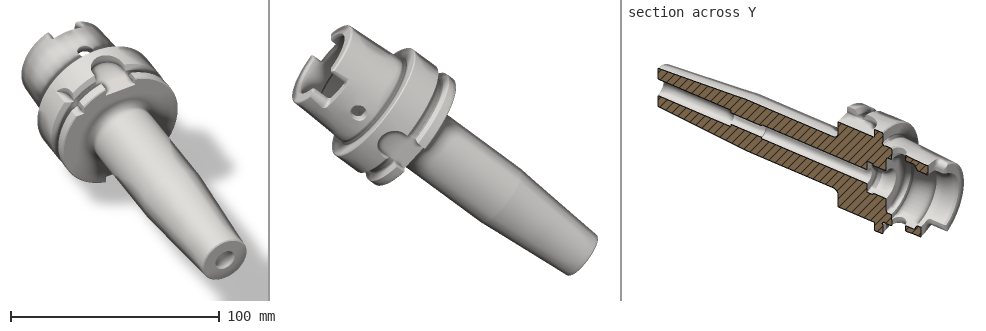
import cadquery as cq
import math


NOSE_X = -32.0
GAUGE_X = -6.3
GAUGE_DIA = 48.04
TAPER_RATIO = 1 / 10
TAPER_END_X = -2.05
NOSE_FILLET = 1.1
RELIEF_DIA = 47.8
RELIEF_START_X = -0.95
RELIEF_FLOOR_END_X = -0.45
FACE_RECESS_INNER_DIA = 49.8
FACE_RECESS_DIA = 51.2
FACE_RECESS_DEPTH = 0.4

FLANGE_DIA = 63.0
FLANGE_WIDTH = 26.0
FLANGE_CHAMFER = 0.5
GROOVE_X = 18.0
GROOVE_BOTTOM_DIA = 55.0
GROOVE_BOTTOM_WIDTH = 3.75
GROOVE_FILLET = 0.5
GROOVE_MOUTH_WIDTH = 6.7
GROOVE_FLANK_ANGLE = 30.0

NECK_DIA = 32.0
NECK_FILLET = 3.0
TIP_X = 130.0
TIP_DIA = 24.0
TIP_CONE_ANGLE = 4.5
TIP_CHAMFER = 0.5

MOUTH_DIA = 35.0
MOUTH_CHAMFER_LENGTH = 1.2
LIP_DIA = 34.0
LIP_END_X = -19.7
CLAMP_ANGLE = 30.0
CLAMP_DIA = 40.0
CLAMP_END_X = -5.0
FLOOR_X = -2.0
FLOOR_FILLET = 1.0

COOLANT_THREAD_DIA = 16.92
COOLANT_THREAD_DEPTH = 8.0
COOLANT_RELIEF_DIA = 19.0
COOLANT_RELIEF_DEPTH = 11.0
CLEARANCE_DIA = 8.4
CLEARANCE_END_X = 70.0
STOP_THREAD_DIA = 6.92
TOOL_BORE_DIA = 10.0
TOOL_BORE_MOUTH_DIA = 10.7
TOOL_BORE_DEPTH = 42.0

ACCESS_X = -9.1
ACCESS_DIA = 7.5
ACCESS_MOUTH_DIA = 8.6

DRIVE_WIDTH = 12.54
DRIVE_EDGE_RADIUS = 3.0
DRIVE_SHELF_Z = 20.9
DRIVE_CORNER_RADIUS = 1.5
DRIVE_MOUTH_CHAMFER = 0.85
UPPER_DRIVE_END_X = -26.0
LOWER_DRIVE_END_X = -22.0

KEYWAY_WIDTH = 16.0
KEYWAY_FLOOR_Z = 26.5
KEYWAY_CENTRE_X = 13.0
NOTCH_OFFSET = 20.0
NOTCH_CENTRE_X = 13.0
NOTCH_RADIUS = 8.0

CLEAR = 5.0
EDGE_MARGIN = 0.1


def taper_radius(x):
    return (GAUGE_DIA + (x - GAUGE_X) * TAPER_RATIO) / 2


def revolve_about_x(profile):
    return profile.close().revolve(360, (0, 0, 0), (1, 0, 0))


def make_body():
    flange_r = FLANGE_DIA / 2
    neck_r = NECK_DIA / 2
    tip_r = TIP_DIA / 2
    half_mouth = GROOVE_MOUTH_WIDTH / 2
    half_bottom = GROOVE_BOTTOM_WIDTH / 2
    flank_depth = (half_mouth - half_bottom) / math.tan(math.radians(GROOVE_FLANK_ANGLE))
    cone_length = (neck_r - tip_r) / math.tan(math.radians(TIP_CONE_ANGLE))
    tip_slope = math.tan(math.radians(TIP_CONE_ANGLE))
    taper_angle = math.atan(TAPER_RATIO / 2)
    rim_x = NOSE_X + NOSE_FILLET * (1 - math.sin(taper_angle))
    face_r = taper_radius(rim_x) - NOSE_FILLET * math.cos(taper_angle)
    bottom_r = GROOVE_BOTTOM_DIA / 2
    half_floor = half_bottom - GROOVE_FILLET
    profile = (
        cq.Workplane("XY")
        .moveTo(NOSE_X, 0)
        .lineTo(NOSE_X, face_r)
        .radiusArc((rim_x, taper_radius(rim_x)), NOSE_FILLET)
        .lineTo(TAPER_END_X, taper_radius(TAPER_END_X))
        .lineTo(RELIEF_START_X, RELIEF_DIA / 2)
        .lineTo(RELIEF_FLOOR_END_X, RELIEF_DIA / 2)
        .lineTo(FACE_RECESS_DEPTH, FACE_RECESS_INNER_DIA / 2)
        .lineTo(0, FACE_RECESS_DIA / 2)
        .lineTo(0, flange_r - FLANGE_CHAMFER)
        .lineTo(FLANGE_CHAMFER, flange_r)
        .lineTo(GROOVE_X - half_mouth, flange_r)
        .lineTo(GROOVE_X - half_bottom, flange_r - flank_depth)
        .lineTo(GROOVE_X - half_bottom, bottom_r + GROOVE_FILLET)
        .radiusArc((GROOVE_X - half_floor, bottom_r), -GROOVE_FILLET)
        .lineTo(GROOVE_X + half_floor, bottom_r)
        .radiusArc((GROOVE_X + half_bottom, bottom_r + GROOVE_FILLET), -GROOVE_FILLET)
        .lineTo(GROOVE_X + half_bottom, flange_r - flank_depth)
        .lineTo(GROOVE_X + half_mouth, flange_r)
        .lineTo(FLANGE_WIDTH - FLANGE_CHAMFER, flange_r)
        .lineTo(FLANGE_WIDTH, flange_r - FLANGE_CHAMFER)
        .lineTo(FLANGE_WIDTH, neck_r + NECK_FILLET)
        .radiusArc((FLANGE_WIDTH + NECK_FILLET, neck_r), -NECK_FILLET)
        .lineTo(TIP_X - cone_length, neck_r)
        .lineTo(TIP_X - TIP_CHAMFER, tip_r + TIP_CHAMFER * tip_slope)
        .lineTo(TIP_X, tip_r - TIP_CHAMFER)
        .lineTo(TIP_X, 0)
    )
    return revolve_about_x(profile)


def make_cavity():
    clamp_length = (CLAMP_DIA - LIP_DIA) / 2 * math.tan(math.radians(CLAMP_ANGLE))
    thread_end_x = FLOOR_X + COOLANT_THREAD_DEPTH
    relief_end_x = FLOOR_X + COOLANT_RELIEF_DEPTH
    tool_bore_x = TIP_X - TOOL_BORE_DEPTH
    bore_chamfer = (TOOL_BORE_MOUTH_DIA - TOOL_BORE_DIA) / 2
    profile = (
        cq.Workplane("XY")
        .moveTo(NOSE_X, 0)
        .lineTo(NOSE_X, MOUTH_DIA / 2)
        .lineTo(NOSE_X + MOUTH_CHAMFER_LENGTH, LIP_DIA / 2)
        .lineTo(LIP_END_X, LIP_DIA / 2)
        .lineTo(LIP_END_X + clamp_length, CLAMP_DIA / 2)
        .lineTo(CLAMP_END_X, CLAMP_DIA / 2)
        .lineTo(CLAMP_END_X, LIP_DIA / 2)
        .lineTo(FLOOR_X - FLOOR_FILLET, LIP_DIA / 2)
        .radiusArc((FLOOR_X, LIP_DIA / 2 - FLOOR_FILLET), FLOOR_FILLET)
        .lineTo(FLOOR_X, COOLANT_THREAD_DIA / 2)
        .lineTo(thread_end_x, COOLANT_THREAD_DIA / 2)
        .lineTo(thread_end_x, COOLANT_RELIEF_DIA / 2)
        .lineTo(relief_end_x, COOLANT_RELIEF_DIA / 2)
        .lineTo(relief_end_x, CLEARANCE_DIA / 2)
        .lineTo(CLEARANCE_END_X, CLEARANCE_DIA / 2)
        .lineTo(CLEARANCE_END_X, STOP_THREAD_DIA / 2)
        .lineTo(tool_bore_x, STOP_THREAD_DIA / 2)
        .lineTo(tool_bore_x, TOOL_BORE_DIA / 2)
        .lineTo(TIP_X - bore_chamfer, TOOL_BORE_DIA / 2)
        .lineTo(TIP_X, TOOL_BORE_MOUTH_DIA / 2)
        .lineTo(TIP_X, 0)
    )
    return revolve_about_x(profile)


def make_access_hole():
    """Radial hole through both taper walls, with a chamfered mouth on each side."""
    hole_r = ACCESS_DIA / 2
    mouth_r = ACCESS_MOUTH_DIA / 2
    surface_z = taper_radius(ACCESS_X)
    top_z = surface_z + CLEAR
    chamfer_end_z = surface_z - (mouth_r - hole_r)
    profile = (
        cq.Workplane("XZ")
        .moveTo(0, -top_z)
        .lineTo(mouth_r, -top_z)
        .lineTo(mouth_r, -surface_z)
        .lineTo(hole_r, -chamfer_end_z)
        .lineTo(hole_r, chamfer_end_z)
        .lineTo(mouth_r, surface_z)
        .lineTo(mouth_r, top_z)
        .lineTo(0, top_z)
        .close()
    )
    return profile.revolve(360, (0, 0, 0), (0, 1, 0)).translate((ACCESS_X, 0, 0))


def make_drive_slot(end_x):
    """Slot from the nose to end_x: rounded outer edges, filleted end wall, chamfered mouth."""
    half = DRIVE_WIDTH / 2
    arc_y = half + DRIVE_EDGE_RADIUS
    arc_z = DRIVE_SHELF_Z - DRIVE_EDGE_RADIUS
    outer_y = arc_y + CLEAR
    top_z = DRIVE_SHELF_Z + CLEAR
    start_x = NOSE_X - CLEAR
    channel = (
        cq.Workplane("YZ", origin=(start_x, 0, 0))
        .moveTo(-half, 0)
        .lineTo(half, 0)
        .lineTo(half, arc_z)
        .radiusArc((arc_y, DRIVE_SHELF_Z), DRIVE_EDGE_RADIUS)
        .lineTo(outer_y, DRIVE_SHELF_Z)
        .lineTo(outer_y, top_z)
        .lineTo(-outer_y, top_z)
        .lineTo(-outer_y, DRIVE_SHELF_Z)
        .lineTo(-arc_y, DRIVE_SHELF_Z)
        .radiusArc((-half, arc_z), DRIVE_EDGE_RADIUS)
        .close()
        .extrude(end_x - start_x)
    )
    end_wall_edges = cq.selectors.BoxSelector(
        (end_x - EDGE_MARGIN, EDGE_MARGIN - outer_y, EDGE_MARGIN),
        (end_x + EDGE_MARGIN, outer_y - EDGE_MARGIN, top_z - EDGE_MARGIN),
    )
    channel = channel.edges(end_wall_edges).fillet(DRIVE_CORNER_RADIUS)
    mouth_half = half + DRIVE_MOUTH_CHAMFER
    mouth = (
        cq.Workplane("XY")
        .moveTo(start_x, -mouth_half)
        .lineTo(NOSE_X, -mouth_half)
        .lineTo(NOSE_X + DRIVE_MOUTH_CHAMFER, -half)
        .lineTo(NOSE_X + DRIVE_MOUTH_CHAMFER, half)
        .lineTo(NOSE_X, mouth_half)
        .lineTo(start_x, mouth_half)
        .close()
        .extrude(DRIVE_SHELF_Z)
    )
    return channel.union(mouth)


def make_round_ended_channel(centre_x, centre_y, floor_z, radius):
    """Upright cutter with a flat floor and a half-round front end, open to the rear of the flange."""
    height = FLANGE_DIA / 2 - floor_z + CLEAR
    length = FLANGE_WIDTH + CLEAR - centre_x
    plane = cq.Workplane("XY", origin=(centre_x, centre_y, floor_z))
    channel = plane.rect(length, 2 * radius).extrude(height).translate((length / 2, 0, 0))
    return channel.union(plane.circle(radius).extrude(height))


def make_keyway():
    return make_round_ended_channel(KEYWAY_CENTRE_X, 0, KEYWAY_FLOOR_Z, KEYWAY_WIDTH / 2)


def make_notch():
    """Step in the flange edge between -Y and +Z, with its wall and floor equally far from the axis."""
    centre_y = -NOTCH_OFFSET - NOTCH_RADIUS
    return make_round_ended_channel(NOTCH_CENTRE_X, centre_y, NOTCH_OFFSET, NOTCH_RADIUS)


def half_turn(cutter):
    return cutter.rotate((0, 0, 0), (1, 0, 0), 180)


cutters = [
    make_cavity(),
    make_access_hole(),
    make_drive_slot(UPPER_DRIVE_END_X),
    half_turn(make_drive_slot(LOWER_DRIVE_END_X)),
    make_keyway(),
    half_turn(make_keyway()),
    make_notch(),
]

result = make_body()
for cutter in cutters:
    result = result.cut(cutter)